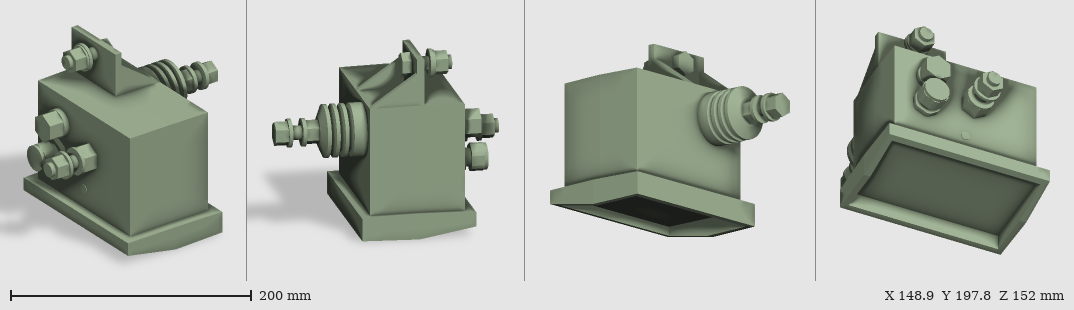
import cadquery as cq
import math


DRAFT = math.tan(math.radians(1))
BASE_WIDTH = 148.9
BASE_HALF_DEPTH = 48.5
BASE_HEIGHT = 21.0
BASE_FRONT_BOTTOM = 8.3
BASE_WALL = 6.0
HOUSING_WIDTH = 131.5
HOUSING_HALF_DEPTH = 40.1
HOUSING_TOP = 112.7

MAIN_X = -33.0
MAIN_Z = 86.2

BRACKET_WIDTH = 62.0
BRACKET_THICKNESS = 6.1
BRACKET_TOP = 152.0
RIB_TOP = 139.5
RIB_THICKNESS = 6.0

ROD_DIAMETER = 12.0
WASHER_DIAMETER = 24.0
SPRING_WASHER_DIAMETER = 22.0
WASHER_THICKNESS = 2.8
NUT_FLATS = 18.0
NUT_HEIGHT = 10.9

BRACKET_BOLT_Z = 140.0
BRACKET_BOLT_HEAD = 8.0
BRACKET_BOLT_END = -34.8
BRACKET_WASHER_FACE = -15.6
SPRING_WASHER_THICKNESS = 1.8

INSULATOR_RADIUS = 45.0 / 2
INSULATOR_NECK_RADIUS = 15.0
INSULATOR_TIP_RADIUS = 12.3
INSULATOR_TIP = 78.3
SHED_COUNT = 3
SHED_PITCH = 7.5
SHED_THICKNESS = 3.2
SHED_CONE_HEIGHT = 2.8
INSULATOR_BASE_END = 51.2
BACK_WASHER_THICKNESS = 3.2
BACK_WASHER_GAP = 8.7

PLUG_COLLAR_DIAMETER = 25.0
PLUG_COLLAR_END = -45.0
PLUG_FLATS = 21.5
PLUG_END = -58.7

GLAND_X = -36.8
GLAND_Z = 58.0
GLAND_FLATS = 22.3
GLAND_CORNER_DIAMETER = 24.0
GLAND_TURN = 27
GLAND_NECK_DIAMETER = 16.0
GLAND_NECK_START = -44.9
GLAND_NUT_START = -49.8
GLAND_NUT_END = -60.9
GLAND_CAP_DIAMETER = 22.3
GLAND_CAP_END = -63.9

STUD_X = 7.3
STUD_Z = 71.0
STUD_FLATS = 21.7
STUD_HEX_END = -52.5
STUD_OUTER_WASHER = -64.8
STUD_END = -82.6

BUTTON_Z = 37.5
BUTTON_DIAMETER = 8.3
BUTTON_HEIGHT = 0.5

EMBED = 2.0
FRONT_ROOT = EMBED - HOUSING_HALF_DEPTH


def plane_at(x, y, z):
    """Plane whose normal points along +Y and whose local y axis points along +Z."""
    return cq.Plane(origin=(x, y, z), xDir=(-1, 0, 0), normal=(0, 1, 0))


def disc(x, z, diameter, start, end):
    return cq.Workplane(plane_at(x, start, z)).circle(diameter / 2).extrude(end - start)


def hexagon(x, z, flats, start, end, turn=30):
    """Hexagonal prism along Y, with its first corner turned from the X axis by `turn` degrees."""
    radius = flats / math.sqrt(3)
    angles = [math.radians(turn + 60 * i) for i in range(6)]
    corners = [(radius * math.cos(a), radius * math.sin(a)) for a in angles]
    return cq.Workplane(plane_at(x, start, z)).polyline(corners).close().extrude(end - start)


def rectangle_wire(width, bottom, top, y):
    corners = [(-width / 2, bottom), (width / 2, bottom), (width / 2, top), (-width / 2, top)]
    return cq.Wire.makePolygon([cq.Vector(x, y, z) for x, z in corners], close=True)


def tapered_half(width, bottom, top, end_bottom, depth):
    """Block from Y = 0 to Y = depth whose sides and top draw in with the draft."""
    inset = abs(depth) * DRAFT
    wide = rectangle_wire(width, bottom, top, 0)
    narrow = rectangle_wire(width - 2 * inset, end_bottom, top - inset, depth)
    return cq.Workplane(obj=cq.Solid.makeLoft([wide, narrow], True))


def make_base():
    back_bottom = BASE_HALF_DEPTH * DRAFT
    back = tapered_half(BASE_WIDTH, 0, BASE_HEIGHT, back_bottom, BASE_HALF_DEPTH)
    front = tapered_half(BASE_WIDTH, 0, BASE_HEIGHT, BASE_FRONT_BOTTOM, -BASE_HALF_DEPTH)
    cavity = cq.Workplane("XY").box(
        BASE_WIDTH - 2 * BASE_WALL,
        2 * (BASE_HALF_DEPTH - BASE_WALL),
        BASE_HEIGHT - BASE_WALL,
        centered=(True, True, False),
    )
    return back.union(front).cut(cavity)


def make_housing():
    bottom = BASE_HEIGHT - BASE_WALL
    halves = [
        tapered_half(HOUSING_WIDTH, bottom, HOUSING_TOP, bottom, side * HOUSING_HALF_DEPTH)
        for side in (1, -1)
    ]
    return halves[0].union(halves[1])


def make_bracket():
    bottom = HOUSING_TOP - EMBED
    plate = cq.Workplane("XY").box(
        BRACKET_WIDTH, BRACKET_THICKNESS, BRACKET_TOP - bottom, centered=(True, False, False)
    ).translate((MAIN_X, -BRACKET_THICKNESS, bottom))

    taper = HOUSING_HALF_DEPTH * DRAFT
    back_z = HOUSING_TOP - taper
    side_profile = [(0, bottom), (HOUSING_HALF_DEPTH, bottom), (HOUSING_HALF_DEPTH, back_z), (0, RIB_TOP)]
    gusset = (
        cq.Workplane("YZ")
        .polyline(side_profile)
        .close()
        .extrude(BRACKET_WIDTH / 2, both=True)
        .translate((MAIN_X, 0, 0))
    )
    outer = BRACKET_WIDTH / 2
    inner = outer - RIB_THICKNESS
    for side in (1, -1):
        plan = [
            (MAIN_X + side * outer, 0),
            (MAIN_X + side * (outer - taper), HOUSING_HALF_DEPTH),
            (MAIN_X + side * (inner + taper), HOUSING_HALF_DEPTH),
            (MAIN_X + side * inner, 0),
        ]
        column = cq.Workplane("XY").polyline(plan).close().extrude(BRACKET_TOP)
        plate = plate.union(column.intersect(gusset))
    return plate


def make_bracket_bolt():
    spring_face = BRACKET_WASHER_FACE - WASHER_THICKNESS
    nut_face = spring_face - SPRING_WASHER_THICKNESS
    at = (MAIN_X, BRACKET_BOLT_Z)
    return (
        hexagon(*at, NUT_FLATS, -EMBED, BRACKET_BOLT_HEAD)
        .union(disc(*at, ROD_DIAMETER, BRACKET_BOLT_END, 0))
        .union(disc(*at, WASHER_DIAMETER, spring_face, BRACKET_WASHER_FACE))
        .union(disc(*at, SPRING_WASHER_DIAMETER, nut_face, spring_face))
        .union(hexagon(*at, NUT_FLATS, nut_face - NUT_HEIGHT, nut_face))
    )


def make_insulator():
    """Revolved insulator: a cylindrical base, then identical sheds, the last one running to the tip."""
    profile = [(0, HOUSING_HALF_DEPTH - EMBED), (INSULATOR_RADIUS, HOUSING_HALF_DEPTH - EMBED)]
    rim_end = INSULATOR_BASE_END
    for _ in range(SHED_COUNT):
        next_rim_end = rim_end + SHED_PITCH
        profile += [
            (INSULATOR_RADIUS, rim_end),
            (INSULATOR_NECK_RADIUS, rim_end + SHED_CONE_HEIGHT),
            (INSULATOR_NECK_RADIUS, next_rim_end - SHED_THICKNESS),
            (INSULATOR_RADIUS, next_rim_end - SHED_THICKNESS),
        ]
        rim_end = next_rim_end
    profile += [(INSULATOR_RADIUS, rim_end), (INSULATOR_TIP_RADIUS, INSULATOR_TIP), (0, INSULATOR_TIP)]
    return (
        cq.Workplane("XY")
        .polyline(profile)
        .close()
        .revolve(360, (0, 0, 0), (0, 1, 0))
        .translate((MAIN_X, 0, MAIN_Z))
    )


def make_back_terminal():
    inner_washer = INSULATOR_TIP + NUT_HEIGHT
    gap_start = inner_washer + BACK_WASHER_THICKNESS
    outer_washer = gap_start + BACK_WASHER_GAP
    outer_nut = outer_washer + BACK_WASHER_THICKNESS
    at = (MAIN_X, MAIN_Z)
    return (
        hexagon(*at, NUT_FLATS, INSULATOR_TIP, inner_washer)
        .union(disc(*at, WASHER_DIAMETER, inner_washer, gap_start))
        .union(disc(*at, ROD_DIAMETER, INSULATOR_TIP - EMBED, outer_nut))
        .union(disc(*at, WASHER_DIAMETER, outer_washer, outer_nut))
        .union(hexagon(*at, NUT_FLATS, outer_nut, outer_nut + NUT_HEIGHT))
    )


def make_plug():
    at = (MAIN_X, MAIN_Z)
    collar = disc(*at, PLUG_COLLAR_DIAMETER, PLUG_COLLAR_END, FRONT_ROOT)
    return collar.union(hexagon(*at, PLUG_FLATS, PLUG_END, PLUG_COLLAR_END))


def rounded_gland_hexagon(start, end):
    at = (GLAND_X, GLAND_Z)
    blank = hexagon(*at, GLAND_FLATS, start, end, GLAND_TURN)
    return blank.intersect(disc(*at, GLAND_CORNER_DIAMETER, start, end))


def make_gland():
    at = (GLAND_X, GLAND_Z)
    return (
        rounded_gland_hexagon(GLAND_NECK_START, FRONT_ROOT)
        .union(disc(*at, GLAND_NECK_DIAMETER, GLAND_NUT_END, FRONT_ROOT))
        .union(rounded_gland_hexagon(GLAND_NUT_END, GLAND_NUT_START))
        .union(disc(*at, GLAND_CAP_DIAMETER, GLAND_CAP_END, GLAND_NUT_END))
    )


def make_earth_stud():
    nut_face = STUD_OUTER_WASHER - WASHER_THICKNESS
    at = (STUD_X, STUD_Z)
    return (
        hexagon(*at, STUD_FLATS, STUD_HEX_END, FRONT_ROOT)
        .union(disc(*at, WASHER_DIAMETER, STUD_HEX_END - WASHER_THICKNESS, STUD_HEX_END))
        .union(disc(*at, ROD_DIAMETER, STUD_END, FRONT_ROOT))
        .union(disc(*at, WASHER_DIAMETER, nut_face, STUD_OUTER_WASHER))
        .union(hexagon(*at, NUT_FLATS, nut_face - NUT_HEIGHT, nut_face))
    )


def make_button():
    return disc(0, BUTTON_Z, BUTTON_DIAMETER, -HOUSING_HALF_DEPTH - BUTTON_HEIGHT, FRONT_ROOT)


result = (
    make_base()
    .union(make_housing())
    .union(make_bracket())
    .union(make_bracket_bolt())
    .union(make_insulator())
    .union(make_back_terminal())
    .union(make_plug())
    .union(make_gland())
    .union(make_earth_stud())
    .union(make_button())
)